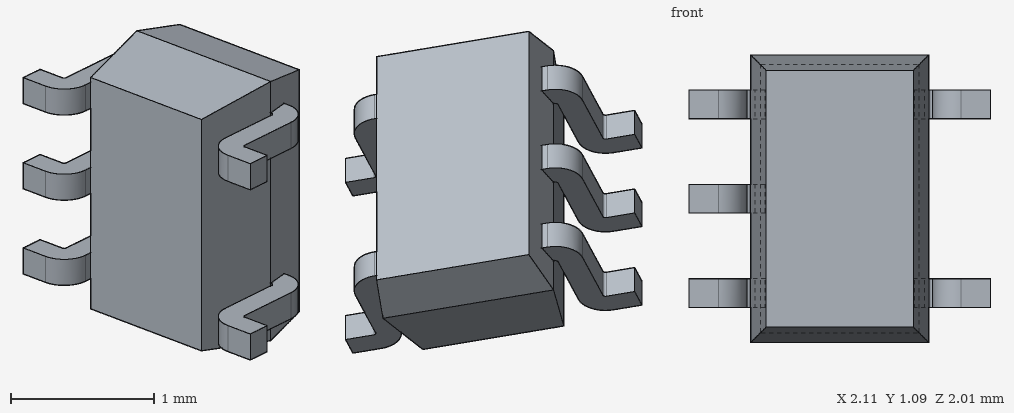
import cadquery as cq
import math

span = 2.11
total_height = 1.09

housing_width = 1.245
housing_length = 2.01
standoff = 0.1
parting_y = 0.711
draft_angle = 10.0

lead_thickness = 0.18
lead_width = 0.203
lead_pitch = 0.66
inner_radius = 0.02
foot_flat = 0.207
lead_embed = 0.1

outer_radius = inner_radius + lead_thickness
lead_top_y = parting_y + lead_thickness
tip_x = -span / 2
inner_face_x = tip_x + foot_flat + outer_radius
outer_face_x = inner_face_x - lead_thickness
root_x = -housing_width / 2 + lead_embed

left_positions = [-lead_pitch, 0, lead_pitch]
right_positions = [-lead_pitch, lead_pitch]


def make_housing_half(end_y):
    """Frustum that tapers from the parting plane to a flat face at end_y."""
    inset = abs(end_y - parting_y) * math.tan(math.radians(draft_angle))
    return (
        cq.Workplane("XZ", origin=(0, parting_y, 0))
        .rect(housing_width, housing_length)
        .workplane(offset=parting_y - end_y)
        .rect(housing_width - 2 * inset, housing_length - 2 * inset)
        .loft(ruled=True)
    )


def make_left_lead(z):
    """Gull-wing lead centred at height z, with its foot towards -X."""
    diagonal = math.sqrt(0.5)
    foot_bend_x = tip_x + foot_flat
    foot_bend_y = outer_radius
    root_bend_x = outer_face_x + outer_radius
    root_bend_y = lead_top_y - outer_radius
    return (
        cq.Workplane("XY", origin=(0, 0, z - lead_width / 2))
        .moveTo(tip_x, 0)
        .lineTo(foot_bend_x, 0)
        .threePointArc(
            (foot_bend_x + outer_radius * diagonal, foot_bend_y - outer_radius * diagonal),
            (inner_face_x, foot_bend_y),
        )
        .lineTo(inner_face_x, root_bend_y)
        .threePointArc(
            (root_bend_x - inner_radius * diagonal, root_bend_y + inner_radius * diagonal),
            (root_bend_x, parting_y),
        )
        .lineTo(root_x, parting_y)
        .lineTo(root_x, lead_top_y)
        .lineTo(root_bend_x, lead_top_y)
        .threePointArc(
            (root_bend_x - outer_radius * diagonal, root_bend_y + outer_radius * diagonal),
            (outer_face_x, root_bend_y),
        )
        .lineTo(outer_face_x, foot_bend_y)
        .threePointArc(
            (foot_bend_x + inner_radius * diagonal, foot_bend_y - inner_radius * diagonal),
            (foot_bend_x, lead_thickness),
        )
        .lineTo(tip_x, lead_thickness)
        .close()
        .extrude(lead_width)
    )


leads = [make_left_lead(z) for z in left_positions]
leads += [make_left_lead(z).mirror("YZ") for z in right_positions]

front_half = make_housing_half(standoff)
back_half = make_housing_half(total_height)
for lead in leads:
    back_half = back_half.cut(lead)

result = cq.Compound.makeCompound(
    [front_half.val(), *back_half.solids().vals(), *[lead.val() for lead in leads]]
)